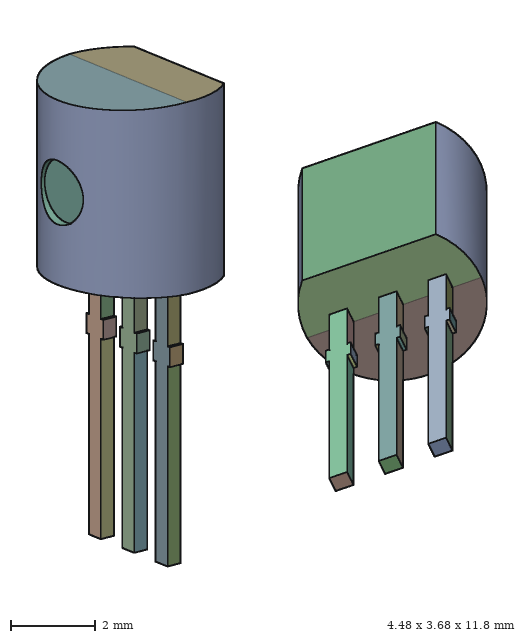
import cadquery as cq
import math

body_radius = 2.24
body_height = 4.82
flat_back_y = 1.44

draft_start_y = -0.1
draft_angle = 2.5

recess_diameter = 1.6
recess_depth = 0.25
recess_z = body_height / 2

lead_count = 3
lead_pitch = 1.27
lead_width = 0.46
lead_thickness = 0.4
lead_length = 7.02
lead_y = 0.1
lead_embed = 0.5

stop_width = 0.64
stop_height = 0.5
stop_drop = 1.5


def make_body():
    """Barrel with flat back, its end faces sloping inwards towards the front."""
    half_flat = math.sqrt(body_radius**2 - flat_back_y**2)
    barrel = (
        cq.Workplane("XY")
        .moveTo(half_flat, flat_back_y)
        .threePointArc((0, -body_radius), (-half_flat, flat_back_y))
        .close()
        .extrude(body_height)
    )
    front_drop = (body_radius + draft_start_y) * math.tan(math.radians(draft_angle))
    side_profile = (
        cq.Workplane("YZ")
        .moveTo(flat_back_y, 0)
        .lineTo(draft_start_y, 0)
        .lineTo(-body_radius, front_drop)
        .lineTo(-body_radius, body_height - front_drop)
        .lineTo(draft_start_y, body_height)
        .lineTo(flat_back_y, body_height)
        .close()
        .extrude(body_radius, both=True)
    )
    return barrel.intersect(side_profile)


def make_recess():
    """Flat-bottomed round cutter entering from the front of the body."""
    return (
        cq.Workplane("XZ", origin=(0, -body_radius + recess_depth, recess_z))
        .circle(recess_diameter / 2)
        .extrude(recess_depth)
    )


def make_bar(x, width, bottom_z, height):
    """Upright rectangular bar of lead thickness."""
    return (
        cq.Workplane("XY", origin=(x, lead_y, bottom_z))
        .rect(width, lead_thickness)
        .extrude(height)
    )


def make_lead(x):
    """Straight lead with its wider stop."""
    shank = make_bar(x, lead_width, -lead_length, lead_length + lead_embed)
    stop = make_bar(x, stop_width, -stop_drop - stop_height, stop_height)
    return shank.union(stop)


result = make_body().cut(make_recess())
for index in range(lead_count):
    lead_x = (index - (lead_count - 1) / 2) * lead_pitch
    result = result.union(make_lead(lead_x))